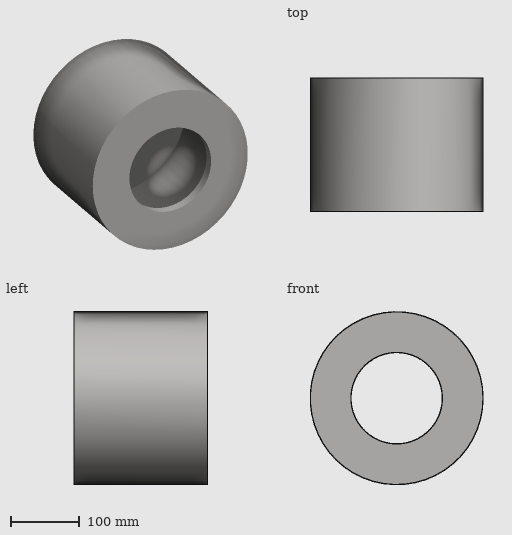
import cadquery as cq

outer_diameter = 252.0
length = 195.0
opening_diameter = 132.8
end_wall_thickness = 15.0
chamber_diameter = 228.0


def centred_cylinder(diameter, height):
    """Cylinder along Y, centred on the origin."""
    return cq.Workplane("XZ", origin=(0, height / 2, 0)).circle(diameter / 2).extrude(height)


drum = centred_cylinder(outer_diameter, length)

openings = centred_cylinder(opening_diameter, length)

chamber = centred_cylinder(chamber_diameter, length - 2 * end_wall_thickness)

result = drum.cut(openings).cut(chamber)